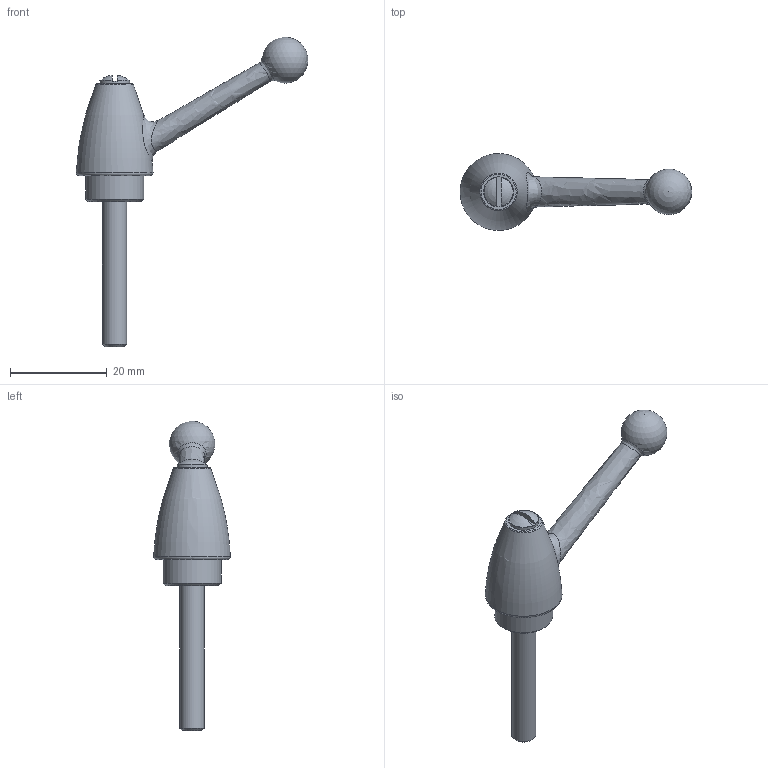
import cadquery as cq
import math

stud_diameter = 5.0
stud_length = 30.0
stud_chamfer = 0.5
collar_diameter = 12.0
collar_height = 5.4
collar_chamfer = 0.5

hub_diameter = 15.9
hub_mid_radius = 6.5
hub_mid_z = 16.0
hub_top_diameter = 7.6
hub_top_z = 24.4
hub_bottom_fillet = 0.6
hub_top_fillet = 0.25

screw_diameter = 6.2
screw_rim_height = 0.65
dome_diameter = 6.0
dome_height = 1.1
slot_width = 1.0
slot_depth = 1.25

ball_diameter = 9.5
overall_width = 47.9
overall_height = 64.0
arm_angle = 30.7
arm_start_width = 6.6
arm_end_width = 4.9
arm_height_ratio = 0.88
hub_arm_fillet = 2.0
ball_arm_fillet = 1.0

hub_radius = hub_diameter / 2
ball_radius = ball_diameter / 2
ball_x = overall_width - hub_radius - ball_radius
ball_z = overall_height - stud_length - ball_radius


def make_stud_and_collar():
    stud = (
        cq.Workplane("XY", origin=(0, 0, -stud_length))
        .circle(stud_diameter / 2)
        .extrude(stud_length + collar_height)
        .faces("<Z")
        .chamfer(stud_chamfer)
    )
    collar = (
        cq.Workplane("XY")
        .circle(collar_diameter / 2)
        .extrude(collar_height)
        .faces("<Z")
        .chamfer(collar_chamfer)
    )
    return stud.union(collar)


def make_hub():
    """Revolved hub whose side is a single arc narrowing towards the top.

    The profile lies on the -X side so that the seam stays clear of the arm.
    """
    return (
        cq.Workplane("XZ")
        .moveTo(0, collar_height)
        .lineTo(-hub_radius, collar_height)
        .lineTo(-hub_radius, collar_height + hub_bottom_fillet)
        .threePointArc((-hub_mid_radius, hub_mid_z), (-hub_top_diameter / 2, hub_top_z))
        .lineTo(0, hub_top_z)
        .close()
        .revolve(360, (0, 0, 0), (0, 1, 0))
        .faces(">Z")
        .edges()
        .fillet(hub_top_fillet)
    )


def make_arm():
    """Tapered oval bar from the hub axis to the ball centre, wider along Y than in height."""
    arm_length = ball_x / math.cos(math.radians(arm_angle))
    arm_direction = cq.Vector(ball_x / arm_length, 0, math.sin(math.radians(arm_angle)))
    start = cq.Vector(ball_x, 0, ball_z) - arm_direction * arm_length
    start_plane = cq.Plane(origin=start, xDir=(0, 1, 0), normal=arm_direction)
    return (
        cq.Workplane(start_plane)
        .ellipse(arm_start_width / 2, arm_start_width * arm_height_ratio / 2)
        .workplane(offset=arm_length)
        .ellipse(arm_end_width / 2, arm_end_width * arm_height_ratio / 2)
        .loft(ruled=True)
    )


def edges_around(centre, size):
    """Selector for the edges whose centre lies in a cube about a point."""
    half_size = cq.Vector(size / 2, size / 2, size / 2)
    return cq.selectors.BoxSelector((centre - half_size).toTuple(), (centre + half_size).toTuple())


def make_lever():
    """Hub, arm and ball blended into one body."""
    arm_slope = math.tan(math.radians(arm_angle))
    hub_joint_x = hub_radius
    hub_joint = cq.Vector(hub_joint_x, 0, ball_z - (ball_x - hub_joint_x) * arm_slope)
    ball_joint_x = ball_x - ball_radius * math.cos(math.radians(arm_angle))
    ball_joint = cq.Vector(ball_joint_x, 0, ball_z - (ball_x - ball_joint_x) * arm_slope)

    ball = cq.Workplane("XY").sphere(ball_radius).translate((ball_x, 0, ball_z))
    return (
        make_hub()
        .union(make_arm())
        .edges(edges_around(hub_joint, arm_start_width))
        .fillet(hub_arm_fillet)
        .union(ball)
        .edges(edges_around(ball_joint, arm_end_width))
        .fillet(ball_arm_fillet)
        .faces("<Z")
        .edges()
        .fillet(hub_bottom_fillet)
    )


def make_screw_head():
    """Short rim and shallow dome with a driver slot running along Y."""
    rim_top_z = hub_top_z + screw_rim_height
    dome_top_z = rim_top_z + dome_height
    dome_radius = ((dome_diameter / 2) ** 2 + dome_height ** 2) / (2 * dome_height)
    rim = (
        cq.Workplane("XY", origin=(0, 0, hub_top_z))
        .circle(screw_diameter / 2)
        .extrude(screw_rim_height)
    )
    dome_limits = (
        cq.Workplane("XY", origin=(0, 0, rim_top_z))
        .circle(dome_diameter / 2)
        .extrude(dome_height)
    )
    dome = (
        cq.Workplane("XY")
        .sphere(dome_radius)
        .translate((0, 0, dome_top_z - dome_radius))
        .intersect(dome_limits)
    )
    slot = (
        cq.Workplane("XY", origin=(0, 0, dome_top_z - slot_depth))
        .rect(slot_width, screw_diameter)
        .extrude(slot_depth)
    )
    return rim.union(dome).cut(slot)


result = make_stud_and_collar().union(make_lever()).union(make_screw_head())